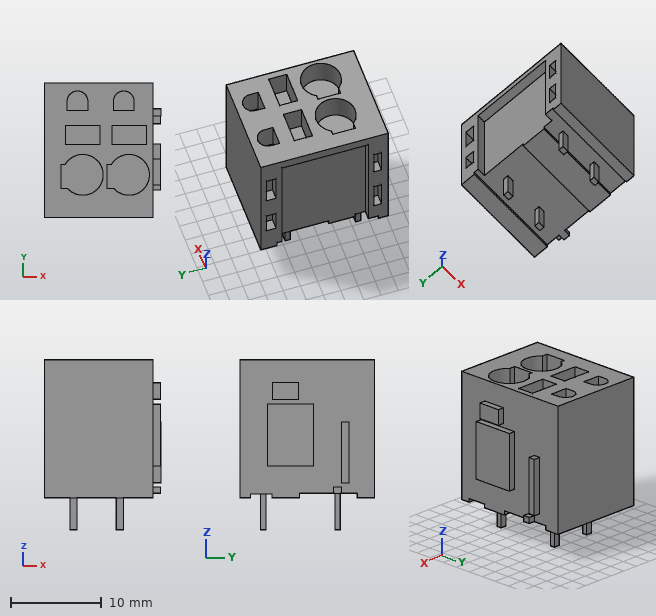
import cadquery as cq


LENGTH = 11.95
WIDTH = 14.8
TOTAL_HEIGHT = 18.7
PIN_LENGTH = 3.5
HEIGHT = TOTAL_HEIGHT - PIN_LENGTH

POLE_COUNT = 2
POLE_PITCH = 5.09

OPENING_DEPTH = 3.03
SOCKET_X = 4.2
SOCKET_Y = 4.7
SOCKET_RADIUS = 2.25
KEYWAY_REACH = 2.41
KEYWAY_FRONT = 3.22
KEYWAY_BACK = 5.83
WINDOW_LENGTH = 3.8
WINDOW_WIDTH = 2.1
WINDOW_Y = 9.07
ARCH_X = 3.63
ARCH_FLAT_Y = 11.78
ARCH_RADIUS = 1.15
ARCH_STRAIGHT = 1.0

RECESS_DEPTH = 1.05
RECESS_FRONT = 2.32
RECESS_BACK = 12.32
RECESS_TOP = 14.05

SLOT_DEPTH = 1.22
FRONT_SLOT_Y = (0.79, 1.68)
BACK_SLOT_Y = (13.02, 14.14)
UPPER_SLOT_BOTTOM = 8.79
SLOTS = [
    (*FRONT_SLOT_Y, UPPER_SLOT_BOTTOM, 11.93),
    (*FRONT_SLOT_Y, 2.55, 6.04),
    (*BACK_SLOT_Y, UPPER_SLOT_BOTTOM, 12.36),
    (*BACK_SLOT_Y, 3.27, 5.97),
]

FRONT_CHANNEL = (1.16, 3.5, 0.43)
BACK_CHANNEL = (6.56, 12.88, 0.5)

TALL_PAD_PROJECTION = 0.86
PAD_PROJECTION = 0.8
TALL_PAD_FRONT = 11.15
PADS = [
    (TALL_PAD_PROJECTION, TALL_PAD_FRONT, 11.97, 1.66, 8.35),
    (PAD_PROJECTION, 10.3, TALL_PAD_FRONT, 0.5, 1.23),
    (PAD_PROJECTION, 3.01, 8.1, 3.5, 10.32),
    (PAD_PROJECTION, 3.57, 6.43, 10.83, 12.68),
]

PIN_X = 3.2
PIN_THICKNESS_X = 0.8
PIN_THICKNESS_Y = 0.62
FRONT_PIN_Y = 2.56
PIN_ROW_SPACING = 8.17
BACK_PIN_Y = FRONT_PIN_Y + PIN_ROW_SPACING


def block(x_range, y_range, z_range):
    """Box between the given limits along each axis."""
    lows, highs = zip(x_range, y_range, z_range)
    size = [high - low for low, high in zip(lows, highs)]
    return cq.Workplane("XY").box(*size, centered=False).translate(lows)


def top_openings(shift):
    """Keyed round socket, rectangular window and arched opening of one pole."""
    floor = HEIGHT - OPENING_DEPTH
    depth_range = (floor, HEIGHT)
    base = cq.Workplane("XY", origin=(shift, 0, floor))

    keyway = block(
        (SOCKET_X + shift - KEYWAY_REACH, SOCKET_X + shift),
        (KEYWAY_FRONT, KEYWAY_BACK),
        depth_range,
    )
    socket = base.center(SOCKET_X, SOCKET_Y).circle(SOCKET_RADIUS).extrude(OPENING_DEPTH).union(keyway)

    window = base.center(SOCKET_X, WINDOW_Y).rect(WINDOW_LENGTH, WINDOW_WIDTH).extrude(OPENING_DEPTH)

    arch = (
        base.center(ARCH_X, ARCH_FLAT_Y)
        .moveTo(-ARCH_RADIUS, 0)
        .lineTo(ARCH_RADIUS, 0)
        .lineTo(ARCH_RADIUS, ARCH_STRAIGHT)
        .threePointArc((0, ARCH_STRAIGHT + ARCH_RADIUS), (-ARCH_RADIUS, ARCH_STRAIGHT))
        .close()
        .extrude(OPENING_DEPTH)
    )
    return [socket, window, arch]


def make_housing():
    """Housing block with its openings, recess, slots, channels and pads."""
    housing = block((0, LENGTH), (0, WIDTH), (0, HEIGHT))

    for pole in range(POLE_COUNT):
        for opening in top_openings(pole * POLE_PITCH):
            housing = housing.cut(opening)

    housing = housing.cut(block((0, RECESS_DEPTH), (RECESS_FRONT, RECESS_BACK), (0, RECESS_TOP)))

    for front, back, bottom, top in SLOTS:
        housing = housing.cut(block((0, SLOT_DEPTH), (front, back), (bottom, top)))

    for front, back, height in (FRONT_CHANNEL, BACK_CHANNEL):
        housing = housing.cut(block((0, LENGTH), (front, back), (0, height)))

    for projection, front, back, bottom, top in PADS:
        housing = housing.union(block((LENGTH, LENGTH + projection), (front, back), (bottom, top)))

    return housing


def make_pin(x, y, top):
    """Rectangular pin from the ceiling of a channel down to the pin tips."""
    return (
        cq.Workplane("XY", origin=(x, y, -PIN_LENGTH))
        .rect(PIN_THICKNESS_X, PIN_THICKNESS_Y)
        .extrude(PIN_LENGTH + top)
    )


housing = make_housing()

pins = []
for pole in range(POLE_COUNT):
    for pin_y, channel in ((FRONT_PIN_Y, FRONT_CHANNEL), (BACK_PIN_Y, BACK_CHANNEL)):
        channel_height = channel[2]
        pins.append(make_pin(PIN_X + pole * POLE_PITCH, pin_y, channel_height))

result = cq.Compound.makeCompound([housing.val(), *[pin.val() for pin in pins]])